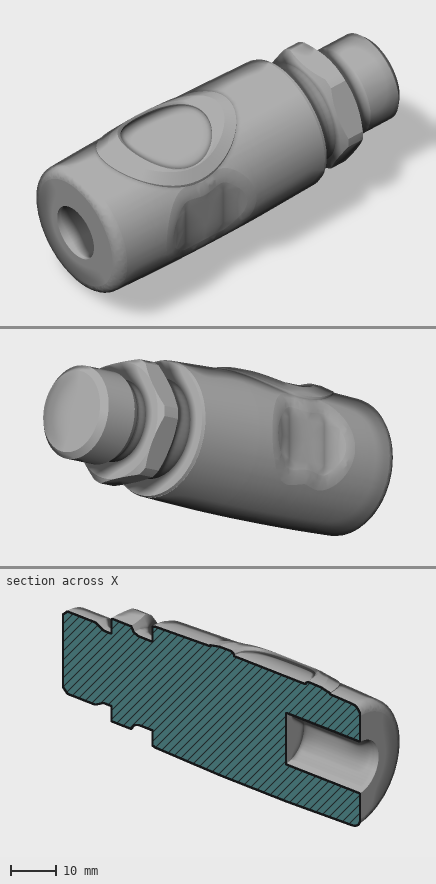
import cadquery as cq
import math

LENGTH = 84.3

THREAD_DIAMETER = 21.0
THREAD_TIP_DIAMETER = 18.3
THREAD_START = 75.0
NECK_DIAMETER = 18.5
NECK_END = 73.0
NECK_BLEND_LENGTH = 0.5
NECK_BLEND_HEIGHT = 0.13
HEX_ACROSS_FLATS = 26.1
HEX_CORNER_DIAMETER = 28.9
HEX_FRONT = 64.1
HEX_BACK = 70.5
HEX_CHAMFER_ANGLE = 30.0
HEX_FOOT_DIAMETER = 23.5
COLLAR_DIAMETER = 22.6
COLLAR_BACK = 62.8

BODY_END = 58.9
BODY_END_RADIUS = 15.35
BODY_BULGE_RADIUS = 16.0
BODY_CHAMFER_LENGTH = 0.8
BODY_CHAMFER_DEPTH = 0.25
MOUTH_FILLET = 2.4
BORE_DIAMETER = 13.0
BORE_DEPTH = 21.1

GRIP_CENTER = 25.6
GRIP_HALF_LENGTH = 12.2
GRIP_MOUTH_X = 16.3
GRIP_WALL_OFFSET = 8.4
GRIP_WALL_X = 14.5
GRIP_HOLLOW_OFFSET = 5.3
GRIP_HOLLOW_X = 13.5
GRIP_CREST_X = 13.8
GRIP_EDGE_FILLET = 5.1

BADGE_CENTER = 25.6
BADGE_HALF_LENGTH = 17.0
BADGE_HALF_WIDTH = 12.65
BADGE_HEIGHT = 0.8
BADGE_BEVEL_WIDTH = 2.7
BADGE_BEVEL_DEPTH = 0.5
FIELD_DIAMETER = 20.2
FIELD_FLOOR_RADIUS = 15.8
FIELD_BEVEL_WIDTH = 0.6
FIELD_BEVEL_DEPTH = 0.7

CLEARANCE = 4.2


def cylinder(diameter, start, end):
    """Cylinder about the Y axis from Y = start to Y = end."""
    return cq.Workplane("XZ", origin=(0, start, 0)).circle(diameter / 2).extrude(start - end)


def revolve_profile(points):
    """Solid of revolution about Y through (radius, y) points; its seam faces -Z."""
    outline = [(y, -radius) for radius, y in points]
    start, end = (points[0][1], 0), (points[-1][1], 0)
    return cq.Workplane("YZ").polyline([start] + outline + [end]).close().revolve(360, (0, 0, 0), (1, 0, 0))


def barrel(offset):
    """Bulging body shape, enlarged radially by offset; its seam faces -Z."""
    end_radius = BODY_END_RADIUS + offset
    return (
        cq.Workplane("YZ")
        .lineTo(0, -end_radius)
        .threePointArc((BODY_END / 2, -BODY_BULGE_RADIUS - offset), (BODY_END, -end_radius))
        .lineTo(BODY_END, 0)
        .close()
        .revolve(360, (0, 0, 0), (1, 0, 0))
    )


def make_spigot():
    """Thread, neck and collar as one turned shape."""
    thread_radius = THREAD_DIAMETER / 2
    tip_radius = THREAD_TIP_DIAMETER / 2
    neck_radius = NECK_DIAMETER / 2
    collar_radius = COLLAR_DIAMETER / 2
    return revolve_profile([
        (collar_radius, BODY_END - CLEARANCE),
        (collar_radius, COLLAR_BACK),
        (HEX_FOOT_DIAMETER / 2, HEX_FRONT),
        (neck_radius, HEX_FRONT),
        (neck_radius, NECK_END - NECK_BLEND_LENGTH),
        (neck_radius + NECK_BLEND_HEIGHT, NECK_END),
        (thread_radius, THREAD_START),
        (thread_radius, LENGTH - (thread_radius - tip_radius)),
        (tip_radius, LENGTH),
    ])


def make_hexagon():
    """Hexagon with corners on +X and -X, turned down at its corners and both ends."""
    slope = math.tan(math.radians(HEX_CHAMFER_ANGLE))
    corner_radius = HEX_CORNER_DIAMETER / 2
    foot_radius = HEX_FOOT_DIAMETER / 2
    back_radius = HEX_ACROSS_FLATS / 2
    envelope = revolve_profile([
        (foot_radius, HEX_FRONT),
        (corner_radius, HEX_FRONT + slope * (corner_radius - foot_radius)),
        (corner_radius, HEX_BACK - slope * (corner_radius - back_radius)),
        (back_radius, HEX_BACK),
    ])
    full_corner_diameter = HEX_ACROSS_FLATS / math.cos(math.pi / 6)
    prism = (
        cq.Workplane("XZ", origin=(0, HEX_FRONT, 0))
        .polygon(6, full_corner_diameter)
        .extrude(HEX_FRONT - HEX_BACK)
    )
    return prism.intersect(envelope)


def make_body():
    """Barrel with a rounded mouth and a narrow chamfer at the collar end."""
    chamfer_cutter = revolve_profile([
        (BODY_END_RADIUS + CLEARANCE, 0),
        (BODY_END_RADIUS + CLEARANCE, BODY_END - BODY_CHAMFER_LENGTH),
        (BODY_END_RADIUS, BODY_END - BODY_CHAMFER_LENGTH),
        (BODY_END_RADIUS - BODY_CHAMFER_DEPTH, BODY_END),
    ])
    return barrel(0).faces("<Y").edges().fillet(MOUTH_FILLET).intersect(chamfer_cutter)


def grip_cutter(side):
    """Wavy-floored cutter running along Z; side is -1 or +1 along X."""
    floor = [
        (-GRIP_HALF_LENGTH, GRIP_MOUTH_X),
        (-GRIP_WALL_OFFSET, GRIP_WALL_X),
        (-GRIP_HOLLOW_OFFSET, GRIP_HOLLOW_X),
        (0, GRIP_CREST_X),
        (GRIP_HOLLOW_OFFSET, GRIP_HOLLOW_X),
        (GRIP_WALL_OFFSET, GRIP_WALL_X),
        (GRIP_HALF_LENGTH, GRIP_MOUTH_X),
    ]
    points = [(side * x, GRIP_CENTER + along) for along, x in floor]
    outer_x = side * (GRIP_MOUTH_X + CLEARANCE)
    return (
        cq.Workplane("XY", origin=(0, 0, -BODY_BULGE_RADIUS))
        .moveTo(*points[0])
        .spline(points[1:], includeCurrent=True)
        .lineTo(outer_x, points[-1][1])
        .lineTo(outer_x, points[0][1])
        .close()
        .extrude(2 * BODY_BULGE_RADIUS)
    )


def cut_grip(body, side):
    """Cut one finger recess and round its rim."""
    recessed = body.cut(grip_cutter(side))
    rim_zone = cq.selectors.BoxSelector(
        (side * GRIP_CREST_X / 2, GRIP_CENTER - GRIP_HALF_LENGTH, -BODY_BULGE_RADIUS),
        (side * (GRIP_MOUTH_X + CLEARANCE), GRIP_CENTER + GRIP_HALF_LENGTH, BODY_BULGE_RADIUS),
    )
    return recessed.edges(rim_zone).fillet(GRIP_EDGE_FILLET)


def make_field_cutter():
    """Round field of the badge, down to a floor curved about the Y axis."""
    disc = (
        cq.Workplane("XY")
        .center(0, BADGE_CENTER)
        .circle(FIELD_DIAMETER / 2)
        .extrude(BODY_BULGE_RADIUS + CLEARANCE)
    )
    return disc.cut(cylinder(2 * FIELD_FLOOR_RADIUS, 0, BODY_END))


def make_pad(field_cutter):
    """Raised oval that follows the body, bevelled at its rim and around the field."""
    oval = (
        cq.Workplane("XY")
        .center(0, BADGE_CENTER)
        .ellipse(BADGE_HALF_WIDTH, BADGE_HALF_LENGTH)
        .extrude(BODY_BULGE_RADIUS + CLEARANCE)
    )
    pad = oval.intersect(barrel(BADGE_HEIGHT)).cut(field_cutter)
    field_edge = pad.edges("%BSPLINE").edges(">Z")
    beveled_field = field_edge.chamfer(FIELD_BEVEL_DEPTH, FIELD_BEVEL_WIDTH)
    rim = beveled_field.edges(cq.selectors.LengthNthSelector(-1))
    return rim.chamfer(BADGE_BEVEL_WIDTH, BADGE_BEVEL_DEPTH)


body = make_body()
for side in (-1, 1):
    body = cut_grip(body, side)

field_cutter = make_field_cutter()
body = body.cut(field_cutter).union(make_pad(field_cutter))

coupling = body.union(make_spigot()).union(make_hexagon())
result = coupling.cut(cylinder(BORE_DIAMETER, 0, BORE_DEPTH))